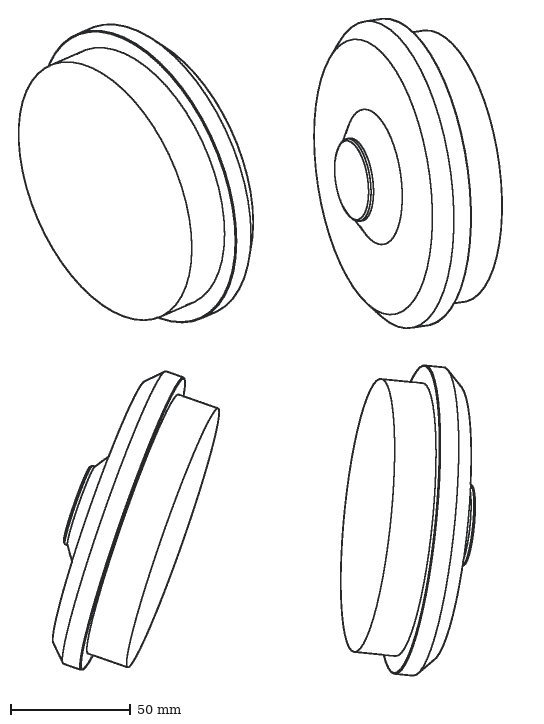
import cadquery as cq

plug_radius = 115.0 / 2
plug_length = 17.7

flange_radius = 130 / 2
flange_back = 32.6
flange_front_chamfer = 0.4
flange_back_chamfer = 6.8

hub_radius = 35.0 / 2
hub_back = 42.6
hub_height = 2.0
hub_chamfer = 0.8

shoulder_base_radius = 28.6
shoulder_bulge = 0.2

hub_front = hub_back - hub_height


def half_profile():
    """Half section of the turned part: X is the radius, Y is the axis."""
    return (
        cq.Workplane("XY")
        .lineTo(plug_radius, 0)
        .lineTo(plug_radius, plug_length)
        .lineTo(flange_radius - flange_front_chamfer, plug_length)
        .lineTo(flange_radius, plug_length + flange_front_chamfer)
        .lineTo(flange_radius, flange_back - flange_back_chamfer)
        .lineTo(flange_radius - flange_back_chamfer, flange_back)
        .lineTo(shoulder_base_radius, flange_back)
        .sagittaArc((hub_radius, hub_front), -shoulder_bulge)
        .lineTo(hub_radius, hub_back - hub_chamfer)
        .lineTo(hub_radius - hub_chamfer, hub_back)
        .lineTo(0, hub_back)
        .close()
    )


result = half_profile().revolve(360, (0, 0, 0), (0, 1, 0))